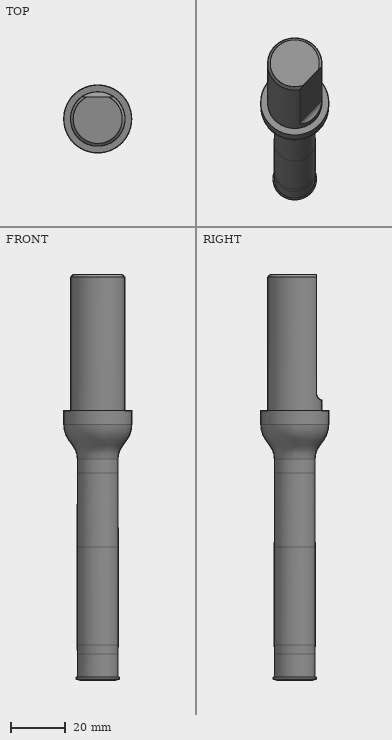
import cadquery as cq
import math

total_length = 149.0
shank_length = 50.0
collar_length = 5.0
collar_top = total_length - shank_length
collar_bottom = collar_top - collar_length

shank_radius = 10.0
shank_chamfer = 1.0
flat_offset = 8.05
flat_runout_radius = 2.4
flat_bottom = collar_top + 6.2

collar_radius = 12.5
neck_radius = 14.96 / 2
neck_top = 81.2
shoulder_mid_radius = 10.5
shoulder_mid_height = 88.0

neck_taper_top = neck_top - 5.0
guide_radius = 15.11 / 2
guide_top = 48.9
guide_bottom = 13.0
guide_taper_length = 3.3

rim_radius = 8.0
nose_radius = 0.5
nose_height = 0.86
underside_angle = math.radians(15)
nose_center_r = rim_radius - nose_radius
tip_height = nose_height + math.sqrt(nose_radius**2 - (neck_radius - nose_center_r) ** 2)


def add_shoulder(outline):
    """Continue the outline with a smooth S-curve that leaves the neck and meets the collar axially."""
    axial = (0, 1)
    points = [(shoulder_mid_radius, shoulder_mid_height), (collar_radius, collar_bottom)]
    return outline.spline(points, tangents=[axial, axial], includeCurrent=True)


def make_flat_cutter():
    """Block that mills the +Y flat, with a rounded run-out towards the collar."""
    runout_depth = shank_radius - flat_offset
    runout_drop = math.sqrt(flat_runout_radius**2 - (flat_runout_radius - runout_depth) ** 2)
    half_turn = math.atan2(runout_drop, flat_runout_radius - runout_depth) / 2
    runout_mid = (
        flat_offset + flat_runout_radius * (1 - math.cos(half_turn)),
        flat_bottom - flat_runout_radius * math.sin(half_turn),
    )
    return (
        cq.Workplane("YZ")
        .moveTo(flat_offset, total_length)
        .lineTo(flat_offset, flat_bottom)
        .threePointArc(runout_mid, (shank_radius, flat_bottom - runout_drop))
        .lineTo(shank_radius, total_length)
        .close()
        .extrude(shank_radius, both=True)
    )


def make_holder():
    """Turned holder: tapered neck, rounded shoulder, collar and shank with a clamping flat."""
    outline = (
        cq.Workplane("XZ")
        .moveTo(0, tip_height)
        .lineTo(neck_radius, tip_height)
        .lineTo(neck_radius, guide_bottom - guide_taper_length)
        .lineTo(guide_radius, guide_bottom)
        .lineTo(guide_radius, guide_top)
        .lineTo(neck_radius, neck_taper_top)
        .lineTo(neck_radius, neck_top)
    )
    outline = (
        add_shoulder(outline)
        .lineTo(collar_radius, collar_top)
        .lineTo(shank_radius, collar_top)
        .lineTo(shank_radius, total_length - shank_chamfer)
        .lineTo(shank_radius - shank_chamfer, total_length)
        .lineTo(0, total_length)
        .close()
    )
    turned = outline.revolve(360, (0, 0, 0), (0, 1, 0))
    return turned.cut(make_flat_cutter())


def make_cutting_tip():
    """Thin disc under the holder, with a rounded rim past the neck and a shallow conical underside."""
    nose_start_r = nose_center_r + nose_radius * math.sin(underside_angle)
    nose_start_z = nose_height - nose_radius * math.cos(underside_angle)
    end_face_radius = nose_start_r - nose_start_z / math.tan(underside_angle)
    return (
        cq.Workplane("XZ")
        .lineTo(end_face_radius, 0)
        .lineTo(nose_start_r, nose_start_z)
        .threePointArc((rim_radius, nose_height), (neck_radius, tip_height))
        .lineTo(0, tip_height)
        .close()
        .revolve(360, (0, 0, 0), (0, 1, 0))
    )


holder = make_holder()
cutting_tip = make_cutting_tip()

result = cq.Compound.makeCompound([holder.val(), cutting_tip.val()])